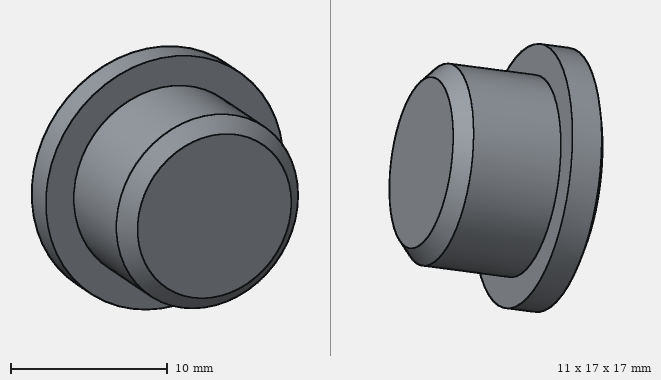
import cadquery as cq
import math

total_length = 11.0
head_diameter = 17.0
shank_diameter = 13.0
dome_height = 2.0
rim_thickness = dome_height
tip_chamfer = dome_height / 2

head_radius = head_diameter / 2
shank_radius = shank_diameter / 2
head_length = dome_height + rim_thickness

dome_radius = (head_radius**2 + dome_height**2) / (2 * dome_height)
half_arc_angle = math.asin(head_radius / dome_radius) / 2
arc_middle = (
    dome_radius * (1 - math.cos(half_arc_angle)),
    dome_radius * math.sin(half_arc_angle),
)

profile = (
    cq.Workplane("XY")
    .moveTo(0, 0)
    .threePointArc(arc_middle, (dome_height, head_radius))
    .lineTo(head_length, head_radius)
    .lineTo(head_length, shank_radius)
    .lineTo(total_length - tip_chamfer, shank_radius)
    .lineTo(total_length, shank_radius - tip_chamfer)
    .lineTo(total_length, 0)
    .close()
)

result = profile.revolve(360, (0, 0, 0), (1, 0, 0))